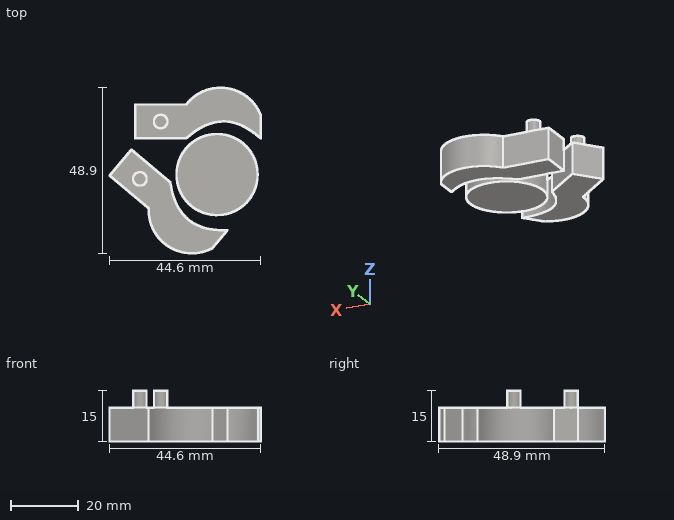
import cadquery as cq
import math

thickness = 10.0

workpiece_diameter = 24.0

arm_length = 15.0
arm_width = 10.0
jaw_length = 37.0
outer_crown_x = 25.0
outer_crown_y = 15.0
inner_crown_x = (arm_length + jaw_length) / 2
inner_crown_y = 5.05
tip_width = 7.0

pin_diameter = 4.0
pin_height = 5.0
pin_inset = arm_length / 2

upper_pivot = (-16.6, 15.65)
upper_angle = 0
lower_pivot = (-22.75, -1.25)
lower_angle = -40


def make_workpiece():
    """Plain disc held between the jaws."""
    return cq.Workplane("XY").circle(workpiece_diameter / 2).extrude(thickness)


def make_jaw(pivot, angle, side):
    """Jaw turned about its pivot; side is +1 if its back faces +Y before the turn, -1 if -Y."""

    def at(along, across):
        """Plan position of a profile point given from the inner corner of the arm end."""
        from_pivot_x = along - pin_inset
        from_pivot_y = side * (across - arm_width / 2)
        turn = math.radians(angle)
        return (
            pivot[0] + from_pivot_x * math.cos(turn) - from_pivot_y * math.sin(turn),
            pivot[1] + from_pivot_x * math.sin(turn) + from_pivot_y * math.cos(turn),
        )

    return (
        cq.Workplane("XY")
        .moveTo(*at(0, 0))
        .lineTo(*at(0, arm_width))
        .lineTo(*at(arm_length, arm_width))
        .threePointArc(at(outer_crown_x, outer_crown_y), at(jaw_length, tip_width))
        .lineTo(*at(jaw_length, 0))
        .spline([at(inner_crown_x, inner_crown_y), at(arm_length, 0)], includeCurrent=True)
        .close()
        .extrude(thickness)
    )


def make_pin(pivot):
    """Pivot pin standing on the top face of an arm."""
    return (
        cq.Workplane("XY", origin=(*pivot, thickness))
        .circle(pin_diameter / 2)
        .extrude(pin_height)
    )


workpiece = make_workpiece()

jaws = []
pins = []
for pivot, angle, side in [
    (upper_pivot, upper_angle, 1),
    (lower_pivot, lower_angle, -1),
]:
    jaws.append(make_jaw(pivot, angle, side).val())
    pins.append(make_pin(pivot).val())

result = cq.Compound.makeCompound([workpiece.val(), *jaws, *pins])